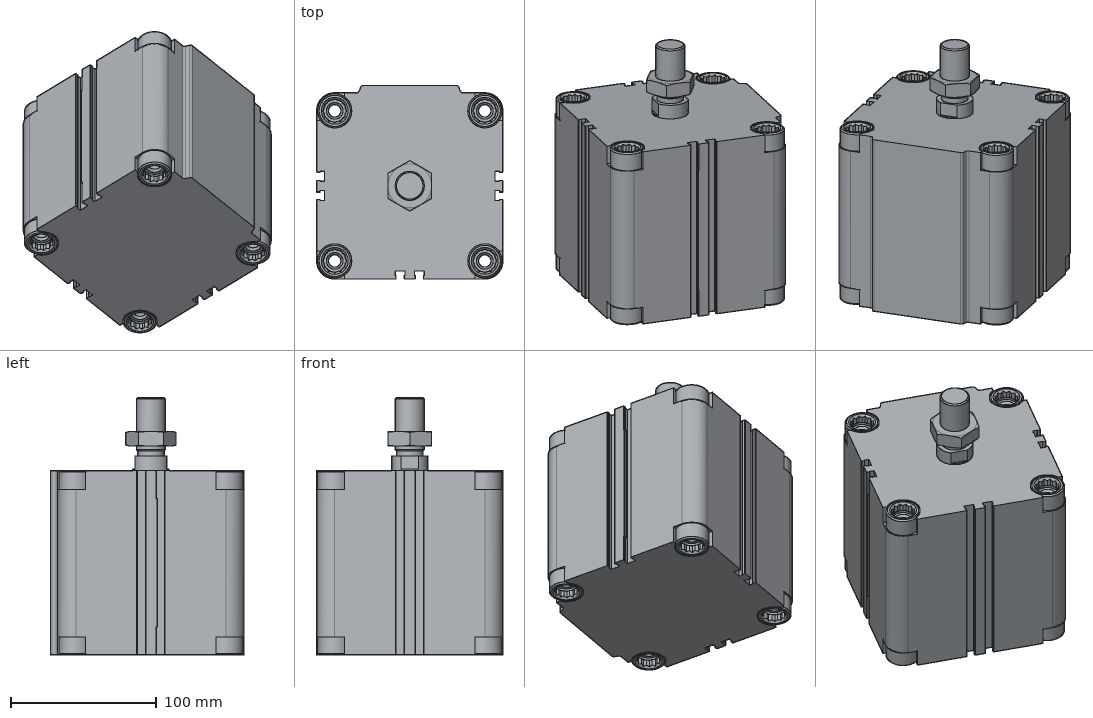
import cadquery as cq
import math


side = 128.0
half_side = side / 2
height = 126.5
corner_radius = 12.5
cover_thickness = 19.2

rib_height = 5.0
rib_mid_half_width = 34.2
rib_flank_angle = 20.0
rib_flank_radius = 1.8

slot_pitch = 13.2
slot_mouth_width = 5.5
slot_inner_width = 6.6
slot_depth = 5.4
slot_lip = 2.4
slot_mouth_chamfer = 0.4
tube_lip_extra = 0.6

screw_offset = half_side - corner_radius
screw_diameter = 23.4
screw_chamfer = 1.0
recess_size = 19.2
top_recess_depth = 13.0
bottom_recess_depth = 12.2

socket_points = 12
socket_rim_diameter = 18.38
socket_tip_diameter = 16.5
socket_root_diameter = socket_tip_diameter * math.cos(math.radians(30)) / math.cos(math.radians(15))
socket_depth = 6.2
bore_diameter = 15.4
bore_depth = 8.0
countersink_diameter = 11.45
screw_hole_diameter = 8.38

rod_length = 50.0
rod_diameter = 25.0
flats_width = 22.0
flats_start = 1.0
shoulder_height = 10.0
undercut_diameter = 18.38
undercut_length = 3.5
thread_outer_diameter = 20.0
thread_end_diameter = 18.16
thread_chamfer = (thread_outer_diameter - thread_end_diameter) / 2
undercut_chamfer = (thread_outer_diameter - undercut_diameter) / 2

nut_across_flats = 30.0
nut_height = 10.0
nut_start = 16.8
nut_chamfer_angle = 15.0

screw_centers = [(sx * screw_offset, sy * screw_offset) for sx in (-1, 1) for sy in (-1, 1)]


def make_rib():
    """Trapezoidal rib with rounded flanks, running the full height."""
    slant = rib_height / 2 * math.tan(math.radians(rib_flank_angle))
    top_half = rib_mid_half_width - slant
    base_half = rib_mid_half_width + slant
    rib_top = half_side + rib_height
    return (
        cq.Workplane("XY")
        .moveTo(-base_half, half_side - rib_height)
        .lineTo(-base_half, half_side)
        .lineTo(-top_half, rib_top)
        .lineTo(top_half, rib_top)
        .lineTo(base_half, half_side)
        .lineTo(base_half, half_side - rib_height)
        .close()
        .extrude(height)
    )


def make_block():
    """Square body with rounded corners and the rib, flank edges rounded."""
    block = cq.Workplane("XY").rect(side, side).extrude(height).edges("|Z").fillet(corner_radius)
    block = block.union(make_rib())
    reach = rib_mid_half_width + rib_height
    flank_zone = cq.selectors.BoxSelector(
        (-reach, half_side - rib_height, 0), (reach, half_side + 2 * rib_height, height)
    )
    return block.edges("|Z").edges(flank_zone).fillet(rib_flank_radius)


def make_slot(center):
    """Symmetric T-slot cutter with a flared mouth in the -Y face, centred at the given X."""
    face = -half_side
    lip_end = face + slot_lip
    slot_end = face + slot_depth
    narrow_half = slot_mouth_width / 2
    wide_half = slot_inner_width / 2
    flared_half = narrow_half + slot_mouth_chamfer
    half_outline = [
        (flared_half, face),
        (narrow_half, face + slot_mouth_chamfer),
        (narrow_half, lip_end),
        (wide_half, lip_end),
        (wide_half, slot_end),
    ]
    outline = half_outline + [(-x, y) for x, y in reversed(half_outline)]
    return cq.Workplane("XY").polyline(outline).close().extrude(height).translate((center, 0, 0))


def make_tube_lip(side_sign):
    """Strip between the covers that widens the upper lip of the -Y side slot, flared like the mouth."""
    face = side_sign * half_side
    flare_end = face - side_sign * slot_mouth_chamfer
    lip_end = face - side_sign * slot_lip
    lip_edge = -slot_pitch / 2 + slot_mouth_width / 2
    new_edge = lip_edge - tube_lip_extra
    return (
        cq.Workplane("XY", origin=(0, 0, cover_thickness))
        .moveTo(face, lip_edge + slot_mouth_chamfer)
        .lineTo(face, new_edge + slot_mouth_chamfer)
        .lineTo(flare_end, new_edge)
        .lineTo(lip_end, new_edge)
        .lineTo(lip_end, lip_edge)
        .lineTo(flare_end, lip_edge)
        .close()
        .extrude(height - 2 * cover_thickness)
    )


def make_corner_recess(depth):
    """Space around one screw head at z = 0, for the corner at +X +Y; the head itself is left standing."""
    inner = half_side - recess_size
    pocket = cq.Workplane("XY").box(recess_size, recess_size, depth, centered=False)
    pocket = pocket.translate((inner, inner, 0))
    head = cq.Workplane("XY").center(screw_offset, screw_offset).circle(screw_diameter / 2).extrude(depth)
    return pocket.cut(head)


def make_rim_bevel():
    """Ring cutter that bevels the rim of a screw head whose end face is at z = 0."""
    outer = screw_diameter / 2
    return (
        cq.Workplane("XZ")
        .moveTo(outer - screw_chamfer, 0)
        .lineTo(outer, 0)
        .lineTo(outer, -screw_chamfer)
        .close()
        .revolve(360, (0, 0, 0), (0, 1, 0))
    )


def make_cone(wide_diameter, narrow_diameter):
    """45 degree cone frustum that narrows downward from z = 0."""
    wide_radius = wide_diameter / 2
    narrow_radius = narrow_diameter / 2
    return (
        cq.Workplane("XZ")
        .lineTo(wide_radius, 0)
        .lineTo(narrow_radius, narrow_radius - wide_radius)
        .lineTo(0, narrow_radius - wide_radius)
        .close()
        .revolve(360, (0, 0, 0), (0, 1, 0))
    )


def make_socket():
    """Twelve-point socket, smooth bore and countersink, opening upward at z = 0."""
    step = math.pi / socket_points
    star = []
    for index in range(2 * socket_points):
        radius = (socket_root_diameter if index % 2 else socket_tip_diameter) / 2
        star.append((radius * math.cos(index * step), radius * math.sin(index * step)))
    flutes = cq.Workplane("XY").polyline(star).close().extrude(-socket_depth)

    rim_cone = make_cone(socket_rim_diameter, socket_root_diameter)
    bore = (
        cq.Workplane("XY", origin=(0, 0, -socket_depth))
        .circle(bore_diameter / 2)
        .extrude(socket_depth - bore_depth)
    )
    countersink = make_cone(countersink_diameter, screw_hole_diameter).translate((0, 0, -bore_depth))
    return flutes.union(rim_cone).union(bore).union(countersink)


def make_housing():
    housing = make_block()

    for face_angle in (0, 90, -90):
        for center in (-slot_pitch / 2, slot_pitch / 2):
            housing = housing.cut(make_slot(center).rotate((0, 0, 0), (0, 0, 1), face_angle))
    for side_sign in (-1, 1):
        housing = housing.union(make_tube_lip(side_sign))

    bottom_recess = make_corner_recess(bottom_recess_depth)
    top_recess = make_corner_recess(top_recess_depth).translate((0, 0, height - top_recess_depth))
    for quarter in range(4):
        for recess in (bottom_recess, top_recess):
            housing = housing.cut(recess.rotate((0, 0, 0), (0, 0, 1), 90 * quarter))

    top_cutters = (make_rim_bevel(), make_socket())
    for x, y in screw_centers:
        for cutter in top_cutters:
            housing = housing.cut(cutter.translate((x, y, height)))
            housing = housing.cut(cutter.mirror("XY").translate((x, y, 0)))
    screw_holes = cq.Workplane("XY").pushPoints(screw_centers).circle(screw_hole_diameter / 2).extrude(height)
    return housing.cut(screw_holes)


def make_rod():
    """Rod end standing on the housing: flatted shoulder, undercut and plain-drawn thread."""
    shoulder_radius = rod_diameter / 2
    undercut_radius = undercut_diameter / 2
    thread_radius = thread_outer_diameter / 2
    thread_start = shoulder_height + undercut_length
    rod = (
        cq.Workplane("XZ")
        .lineTo(shoulder_radius, 0)
        .lineTo(shoulder_radius, shoulder_height)
        .lineTo(undercut_radius, shoulder_height)
        .lineTo(undercut_radius, thread_start)
        .lineTo(thread_radius, thread_start + undercut_chamfer)
        .lineTo(thread_radius, rod_length - thread_chamfer)
        .lineTo(thread_end_diameter / 2, rod_length)
        .lineTo(0, rod_length)
        .close()
        .revolve(360, (0, 0, 0), (0, 1, 0))
    )
    flat_depth = (rod_diameter - flats_width) / 2
    for side_sign in (-1, 1):
        flat = (
            cq.Workplane("XY", origin=(0, 0, flats_start))
            .center(0, side_sign * (flats_width + flat_depth) / 2)
            .rect(rod_diameter, flat_depth)
            .extrude(shoulder_height - flats_start)
        )
        rod = rod.cut(flat)
    return rod.translate((0, 0, height))


def make_nut():
    """Hexagon nut with two corners on the Y axis and both ends bevelled."""
    corner_distance = nut_across_flats / math.cos(math.radians(30)) / 2
    bevel_start = nut_across_flats / 2
    bevel_height = (corner_distance - bevel_start) * math.tan(math.radians(nut_chamfer_angle))
    hexagon = cq.Workplane("XY").polygon(6, 2 * corner_distance).extrude(nut_height)
    hexagon = hexagon.rotate((0, 0, 0), (0, 0, 1), 90)
    envelope = (
        cq.Workplane("XZ")
        .lineTo(bevel_start, 0)
        .lineTo(corner_distance, bevel_height)
        .lineTo(corner_distance, nut_height - bevel_height)
        .lineTo(bevel_start, nut_height)
        .lineTo(0, nut_height)
        .close()
        .revolve(360, (0, 0, 0), (0, 1, 0))
    )
    bore = cq.Workplane("XY").circle(thread_outer_diameter / 2).extrude(nut_height)
    return hexagon.intersect(envelope).cut(bore).translate((0, 0, height + nut_start))


housing = make_housing()
rod = make_rod()
nut = make_nut()

result = cq.Compound.makeCompound([housing.val(), rod.val(), nut.val()])